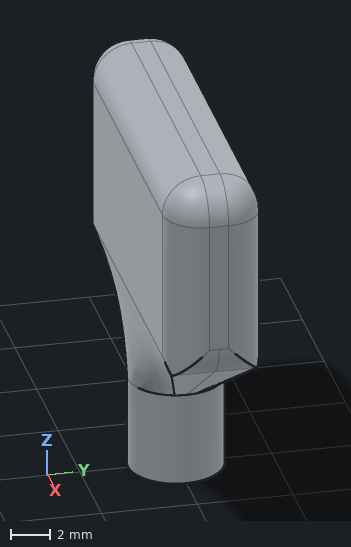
import cadquery as cq

body_width = 20.0
body_depth = 5.0
body_height = 10.0
neck_height = 5.0
stem_height = 5.0
edge_radius = 2.0

stem_diameter = body_depth
body_base = stem_height + neck_height


def make_block(base, height):
    """Rectangular block with the body footprint, starting at the given level."""
    return (
        cq.Workplane("XY", origin=(0, 0, base))
        .rect(body_width, body_depth)
        .extrude(height)
    )


def make_neck():
    """Ruled transition from the rectangular body base down to the round stem."""
    return (
        cq.Workplane("XY", origin=(0, 0, body_base))
        .rect(body_width, body_depth)
        .workplane(offset=-neck_height)
        .circle(stem_diameter / 2)
        .loft(ruled=True)
    )


def make_stem():
    """Round stem standing on the XY plane."""
    return cq.Workplane("XY").circle(stem_diameter / 2).extrude(stem_height)


def make_head():
    """Body and neck, rounded along the short edges where the body sides meet the neck."""
    sharp_head = make_block(body_base, body_height).union(make_neck())
    return sharp_head.edges("|Y").edges("<Z").fillet(edge_radius)


def make_rounded_envelope():
    """Block over the body and neck with rounded upright and top edges."""
    block = make_block(stem_height, neck_height + body_height)
    return block.edges("|Z or >Z").fillet(edge_radius)


result = make_head().intersect(make_rounded_envelope()).union(make_stem())